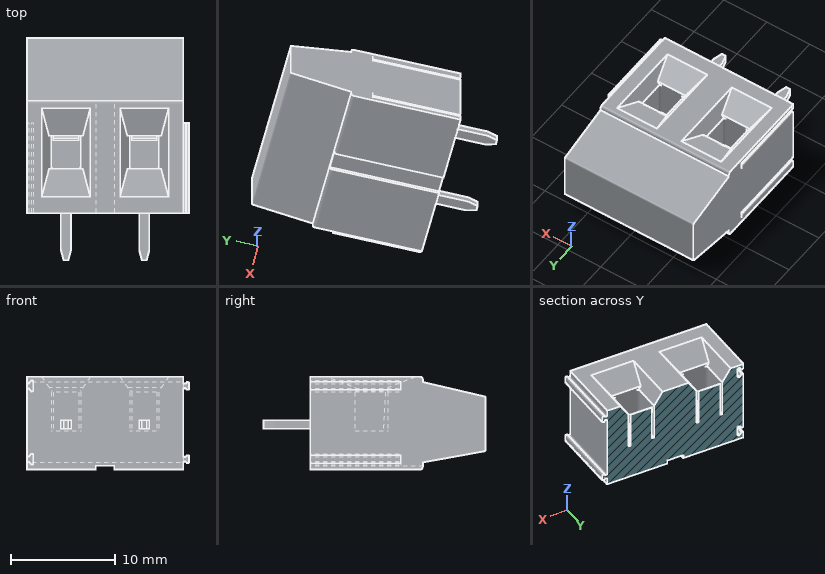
import cadquery as cq
import math


pole_pitch = 7.5
pole_count = 2
housing_width = pole_pitch * pole_count
housing_height = 8.9
total_depth = 21.3
pin_length = 4.5
housing_depth = total_depth - pin_length
step_y = 10.8
upper_step_z = 8.4
lower_step_z = 0.68
back_top_z = 6.99
back_bottom_z = 1.77
step_fillet = 0.3
back_fillet = 0.2

notch_width = 1.75
notch_height = 0.36

pin_width = 1.0
pin_thickness = 0.85
pin_center_z = 4.32
pin_tip_width = 0.47
pin_tip_length = 1.0

mouth_width = 4.65
mouth_front_y = 1.6
mouth_back_y = 10.05
throat_width = 3.24
throat_front_y = 4.25
throat_back_y = 7.41
funnel_depth = 1.02
well_width = 2.8
well_floor_z = 3.73
well_fillet = 0.2
clamp_width = 2.4
clamp_top_z = 7.45
clamp_top_thickness = 0.21
clamp_foot_thickness = 0.43

joint_heights = (1.0, 8.0)
joint_length = 8.67
rail_reach = 15.55 - housing_width
rail_neck_half = 0.21
rail_head_half = 0.38
rail_root_radius = 0.13
rail_head_radius = 0.15
groove_depth = 0.64
groove_neck_half = 0.23
groove_head_half = 0.53
groove_mouth_radius = 0.15
groove_head_radius = 0.17
neck_length = 0.2
flare_angle = 50


def make_housing():
    """Stepped body, tapered towards the back."""
    outline = [
        (0, 0),
        (step_y, 0),
        (step_y, lower_step_z),
        (housing_depth, back_bottom_z),
        (housing_depth, back_top_z),
        (step_y, upper_step_z),
        (step_y, housing_height),
        (0, housing_height),
    ]
    body = cq.Workplane("YZ").polyline(outline).close().extrude(housing_width)
    body = body.faces(">Y").edges("|X").fillet(back_fillet)
    for z in (0, housing_height):
        step_edge = cq.selectors.NearestToPointSelector((housing_width / 2, step_y, z))
        body = body.edges(step_edge).fillet(step_fillet)
    notch = cq.Workplane("XY").box(
        notch_width, step_y, notch_height, centered=(True, False, False)
    )
    return body.cut(notch.translate((housing_width / 2, 0, 0)))


def make_pin():
    """Flat pin with a tapered tip, centred on X = 0."""
    shoulder_y = pin_tip_length - pin_length
    outline = [
        (-pin_width / 2, 0),
        (-pin_width / 2, shoulder_y),
        (-pin_tip_width / 2, -pin_length),
        (pin_tip_width / 2, -pin_length),
        (pin_width / 2, shoulder_y),
        (pin_width / 2, 0),
    ]
    pin = cq.Workplane("XY").polyline(outline).close().extrude(pin_thickness)
    return pin.translate((0, 0, pin_center_z - pin_thickness / 2))


def make_opening():
    """Space of one wire opening, centred on X = 0, with the clamp left standing in it."""
    throat_depth = throat_back_y - throat_front_y
    throat_z = housing_height - funnel_depth
    throat_center_y = (throat_front_y + throat_back_y) / 2
    mouth_depth = mouth_back_y - mouth_front_y
    mouth_center_y = (mouth_front_y + mouth_back_y) / 2

    funnel = (
        cq.Workplane("XY", origin=(0, mouth_center_y, housing_height))
        .rect(mouth_width, mouth_depth)
        .workplane(offset=-funnel_depth)
        .center(0, throat_center_y - mouth_center_y)
        .rect(throat_width, throat_depth)
        .loft(ruled=True)
    )

    side_slope = funnel_depth / (mouth_width - throat_width)
    well_top_z = throat_z - (throat_width - well_width) * side_slope
    throat = (
        cq.Workplane("XZ", origin=(0, throat_back_y, 0))
        .moveTo(-throat_width / 2, throat_z)
        .lineTo(throat_width / 2, throat_z)
        .lineTo(well_width / 2, well_top_z)
        .lineTo(-well_width / 2, well_top_z)
        .close()
        .extrude(throat_depth)
    )

    well = (
        cq.Workplane("XY", origin=(0, throat_center_y, well_floor_z))
        .rect(well_width, throat_depth)
        .extrude(well_top_z - well_floor_z)
        .edges("|Z and <Y")
        .fillet(well_fillet)
    )

    clamp = (
        cq.Workplane("YZ")
        .moveTo(throat_back_y, well_floor_z)
        .lineTo(throat_back_y, clamp_top_z)
        .lineTo(throat_back_y - clamp_top_thickness, clamp_top_z)
        .lineTo(throat_back_y - clamp_foot_thickness, well_floor_z)
        .close()
        .extrude(clamp_width / 2, both=True)
    )
    return funnel.union(throat).union(well).cut(clamp)


def make_dovetail(reach, neck_half, head_half, root_radius, head_radius):
    """Bar along Y: rounded flare at X = 0, straight widening to the head, rounded far end."""
    head_start = neck_length + (head_half - neck_half) / math.tan(math.radians(flare_angle))
    root_mid = root_radius * (1 - math.sqrt(0.5))
    head_mid = head_radius * (1 - math.sqrt(0.5))
    profile = (
        cq.Workplane("XZ")
        .moveTo(0, neck_half + root_radius)
        .threePointArc((root_mid, neck_half + root_mid), (root_radius, neck_half))
        .lineTo(neck_length, neck_half)
        .lineTo(head_start, head_half)
        .lineTo(reach - head_radius, head_half)
        .threePointArc((reach - head_mid, head_half - head_mid), (reach, head_half - head_radius))
        .lineTo(reach, 0)
        .lineTo(0, 0)
        .close()
    )
    half_bar = profile.extrude(-joint_length)
    return half_bar.union(half_bar.mirror("XY"))


result = make_housing()

pin = make_pin()
opening = make_opening()
for pole in range(pole_count):
    pole_x = pole_pitch * (pole + 0.5)
    result = result.union(pin.translate((pole_x, 0, 0)))
    result = result.cut(opening.translate((pole_x, 0, 0)))

rail = make_dovetail(
    rail_reach, rail_neck_half, rail_head_half, rail_root_radius, rail_head_radius
)
groove = make_dovetail(
    groove_depth, groove_neck_half, groove_head_half, groove_mouth_radius, groove_head_radius
)
for joint_z in joint_heights:
    result = result.union(rail.translate((housing_width, 0, joint_z)))
    result = result.cut(groove.translate((0, 0, joint_z)))